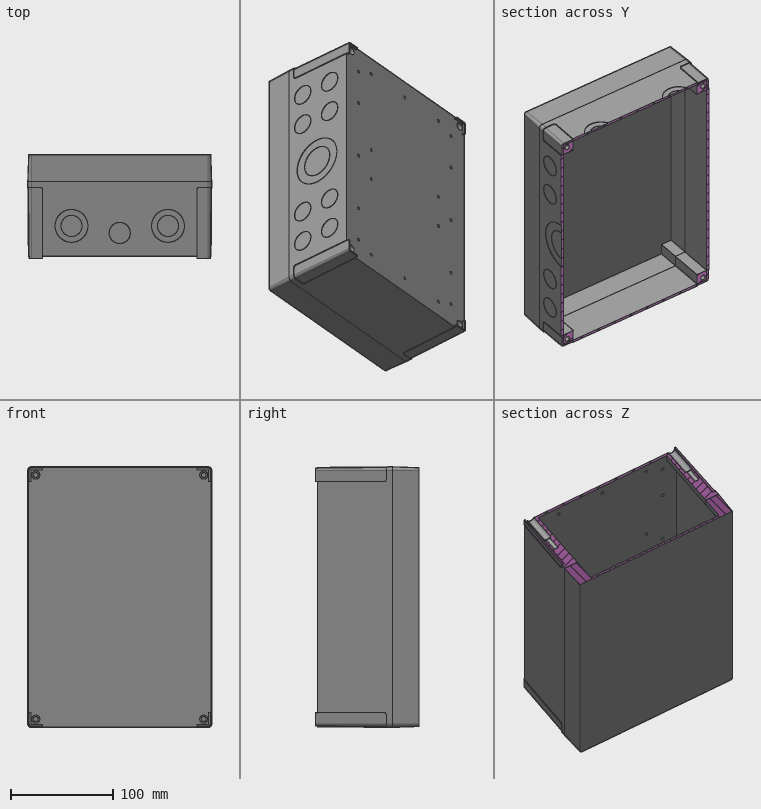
import cadquery as cq
import math

WIDTH = 180.0
HEIGHT = 255.0
DEPTH = 101.5
BACK_Y = 2.0
JOINT_Y = 75.3

CORNER_RADIUS = 3.5
BASE_DRAFT = 0.5
LID_DRAFT = 2.0

WALL = 3.5
FLOOR = 3.0
POST_SIZE = 15.3

STRIP_LEG = 14.5
STRIP_END_Y = 69.5
STRIP_INSET = 0.8
STRIP_INNER_OFFSET = 3.0
STRIP_END_RADIUS = 2.0

HOLE_X = 82.1
HOLE_Z = 119.5
HOLE_DIAMETER = 8.0
HOLE_DEPTH = 30.5
BORE_DIAMETER = 4.8
BORE_DEPTH = 46.0

KNOCKOUT_STEP = 0.3
SMALL_KNOCKOUT = 20.7
MEDIUM_KNOCKOUT = 32.1
LARGE_KNOCKOUT = 50.5
END_PAIR_X = 47.2
END_PAIR_Y = 32.0
END_SINGLE_Y = 25.0
SIDE_LARGE_Y = 39.8
SIDE_ROWS_Y = (23.7, 58.0)
SIDE_ROWS_Z = (52.8, 88.3)

PILOT_DIAMETER = 3.0
PILOT_SKIN = 1.0
PILOT_OUTER_X = 70.2
PILOT_INNER_X = 51.0
PILOT_ROW_Z = 109.2
PILOT_CENTER_Z = 17.5
PILOT_SIDE_Z = (63.5, 101.5)

SIGNS = (-1, 1)
CORNERS = [(sign_x, sign_z) for sign_x in SIGNS for sign_z in SIGNS]


def box(x_size, y_from, y_to, z_size):
    """Block centred in X and Z between two Y levels."""
    return cq.Workplane("XY").box(x_size, y_to - y_from, z_size).translate((0, (y_from + y_to) / 2, 0))


def cylinder(x, z, y_from, y_to, diameter):
    """Cylinder along Y between two Y levels."""
    return cq.Workplane("XZ", origin=(x, y_from, z)).circle(diameter / 2).extrude(y_from - y_to)


def drafted_block(y_to, draft, inset=0.0):
    """Round-cornered block that narrows from the joint to y_to; inset shrinks it all round."""
    profile = (
        cq.Sketch()
        .rect(WIDTH - 2 * inset, HEIGHT - 2 * inset)
        .vertices()
        .fillet(CORNER_RADIUS - inset)
    )
    start = cq.Workplane("XZ", origin=(0, JOINT_Y, 0)).placeSketch(profile)
    return start.extrude(JOINT_Y - y_to, taper=draft)


def in_corner(shape, sign_x, sign_z):
    """Mirror a shape made for the +X +Z corner into the given corner."""
    if sign_x < 0:
        shape = shape.mirror("YZ")
    if sign_z < 0:
        shape = shape.mirror("XY")
    return shape


def strip_region():
    """L-shaped region of the +X +Z corner that a strip takes up, open to the outside."""
    inner_x = WIDTH / 2 - STRIP_INNER_OFFSET
    inner_z = HEIGHT / 2 - STRIP_INNER_OFFSET
    leg_x = WIDTH / 2 - STRIP_LEG
    leg_z = HEIGHT / 2 - STRIP_LEG
    block = (
        cq.Workplane("XY")
        .box(2 * STRIP_LEG, STRIP_END_Y, 2 * STRIP_LEG, centered=False)
        .edges(">Y and (<X or <Z)")
        .fillet(STRIP_END_RADIUS)
        .translate((leg_x, 0, leg_z))
    )
    return block.cut(box(2 * inner_x, 0, JOINT_Y, 2 * inner_z))


def corner_strip(sign_x, sign_z):
    strip = drafted_block(0, BASE_DRAFT, STRIP_INSET).intersect(strip_region())
    return in_corner(strip, sign_x, sign_z)


def cavity(y_from, y_to):
    """Hollow between two Y levels, with square corner posts left standing."""
    space = box(WIDTH - 2 * WALL, y_from, y_to, HEIGHT - 2 * WALL)
    for sign_x, sign_z in CORNERS:
        post = box(2 * POST_SIZE, y_from, y_to, 2 * POST_SIZE)
        space = space.cut(post.translate((sign_x * WIDTH / 2, 0, sign_z * HEIGHT / 2)))
    return space


def mounting_hole(x, z):
    hole = cylinder(x, z, BACK_Y, BACK_Y + HOLE_DEPTH, HOLE_DIAMETER)
    return hole.union(cylinder(x, z, BACK_Y, BACK_Y + BORE_DEPTH, BORE_DIAMETER))


def pilot_places():
    """X, Z centres of the pilot holes."""
    places = [(0, sign * PILOT_ROW_Z) for sign in SIGNS]
    places += [(sign * PILOT_OUTER_X, 0) for sign in SIGNS]
    for sign_x, sign_z in CORNERS:
        places += [(sign_x * PILOT_INNER_X, sign_z * z) for z in (PILOT_CENTER_Z, PILOT_ROW_Z)]
        places += [(sign_x * PILOT_OUTER_X, sign_z * z) for z in PILOT_SIDE_Z]
    return places


def wall_setback(y):
    """How far the drafted base wall lies inside the joint outline at a Y level."""
    return (JOINT_Y - y) * math.tan(math.radians(BASE_DRAFT))


def end_knockout(x, y, diameters):
    """Knockout in the top end wall; each smaller diameter lies one step deeper."""
    cutter = cq.Workplane("XY")
    for level, diameter in enumerate(diameters, start=1):
        floor_z = HEIGHT / 2 - wall_setback(y) - level * KNOCKOUT_STEP
        disc = cq.Workplane("XY", origin=(x, y, floor_z)).circle(diameter / 2).extrude(WALL)
        cutter = cutter.union(disc)
    return cutter


def side_knockout(y, z, diameters):
    """Knockout in the -X side wall; each smaller diameter lies one step deeper."""
    cutter = cq.Workplane("XY")
    for level, diameter in enumerate(diameters, start=1):
        floor_x = wall_setback(y) + level * KNOCKOUT_STEP - WIDTH / 2
        disc = cq.Workplane("YZ", origin=(floor_x, y, z)).circle(diameter / 2).extrude(-WALL)
        cutter = cutter.union(disc)
    return cutter


def knockouts():
    """All knockout recesses of the top end and the -X side."""
    cutters = [
        end_knockout(0, END_SINGLE_Y, (SMALL_KNOCKOUT,)),
        side_knockout(SIDE_LARGE_Y, 0, (LARGE_KNOCKOUT, MEDIUM_KNOCKOUT)),
    ]
    for sign in SIGNS:
        cutters.append(end_knockout(sign * END_PAIR_X, END_PAIR_Y, (MEDIUM_KNOCKOUT, SMALL_KNOCKOUT)))
        for y in SIDE_ROWS_Y:
            for z in SIDE_ROWS_Z:
                cutters.append(side_knockout(y, sign * z, (SMALL_KNOCKOUT,)))
    return cutters


def make_base():
    body = drafted_block(BACK_Y, BASE_DRAFT).cut(cavity(BACK_Y + FLOOR, JOINT_Y))
    for sign_x, sign_z in CORNERS:
        body = body.cut(in_corner(strip_region(), sign_x, sign_z))
        body = body.cut(mounting_hole(sign_x * HOLE_X, sign_z * HOLE_Z))
    for x, z in pilot_places():
        body = body.cut(cylinder(x, z, BACK_Y + PILOT_SKIN, BACK_Y + FLOOR, PILOT_DIAMETER))
    for cutter in knockouts():
        body = body.cut(cutter)
    return body


def make_lid():
    return drafted_block(DEPTH, LID_DRAFT).cut(cavity(JOINT_Y, DEPTH - FLOOR))


base = make_base()
lid = make_lid()
strips = [corner_strip(sign_x, sign_z) for sign_x, sign_z in CORNERS]

result = cq.Compound.makeCompound([base.val(), lid.val(), *[strip.val() for strip in strips]])